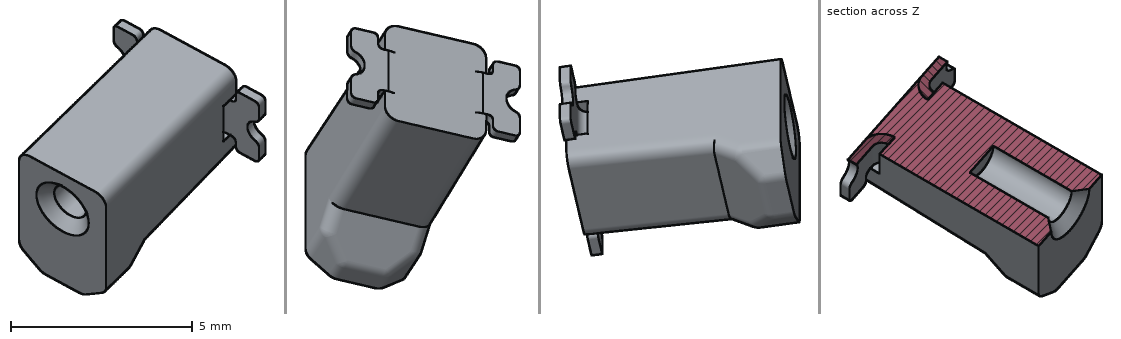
import cadquery as cq
import math


width = 3.0
length = 6.0
height = 4.4
edge_radius = 0.4

back_height = 3.25
ramp_length = 4.08
ramp_angle = 3.0
nose_length = 0.7
nose_start = length - nose_length
knee_z = height - back_height - ramp_length * math.tan(math.radians(ramp_angle))

corner_drop = 0.6
corner_inset = 0.8

bore_diameter = 1.1
mouth_diameter = 1.8
mouth_depth = (mouth_diameter - bore_diameter) / 2
bore_depth = 3.0
bore_z = height - 1.4

tab_span = 5.0
tab_thickness = 0.3
tab_height = 2.4
tab_width = 0.8
tab_z = height - 1.61
tab_corner_radius = 0.15
neck_height = 1.4
notch_radius = 0.4
notch_lip_radius = 0.2
bend_inset = 0.1
bend_inner_radius = 0.3
bend_outer_radius = bend_inner_radius + tab_thickness

half_width = width / 2
outer_x = tab_span / 2
shoulder_x = outer_x - tab_width
bend_x = half_width - bend_inset

tolerance = 0.01


def bend_sector(radius):
    """Quarter cylinder, as high as the tab neck, inside the right-hand housing wall."""
    reach = radius * math.sqrt(0.5)
    return (
        cq.Workplane("XY", origin=(bend_x, -bend_outer_radius, tab_z - neck_height / 2))
        .lineTo(0, radius)
        .threePointArc((-reach, reach), (-radius, 0))
        .close()
        .extrude(neck_height)
    )


def mirrored(body):
    """The same body on the opposite side of the YZ plane."""
    return body.mirror("YZ")


def housing_block():
    """Side profile limited to the front outline, with rounded long edges."""
    side = (
        cq.Workplane("YZ", origin=(-half_width, 0, 0))
        .polyline([
            (0, height),
            (-length, height),
            (-length, 0),
            (-nose_start, 0),
            (-ramp_length, knee_z),
            (0, height - back_height),
        ])
        .close()
        .extrude(width)
    )
    nose_half = half_width - corner_inset
    front = (
        cq.Workplane("XZ")
        .polyline([
            (-half_width, height),
            (half_width, height),
            (half_width, corner_drop),
            (nose_half, 0),
            (-nose_half, 0),
            (-half_width, corner_drop),
        ])
        .close()
        .extrude(length)
    )
    block = side.intersect(front)

    knee = cq.selectors.BoxSelector(
        (-tolerance, -ramp_length - tolerance, knee_z - tolerance),
        (tolerance, -ramp_length + tolerance, knee_z + tolerance),
    )
    between_ends = cq.selectors.StringSyntaxSelector("not(<Y or >Y)")
    return block.edges(between_ends - knee).fillet(edge_radius)


def wire_bore():
    """Blind round bore with its conical mouth."""
    bore_radius = bore_diameter / 2
    return (
        cq.Workplane("XY", origin=(0, -length, bore_z))
        .polyline([
            (0, 0),
            (mouth_diameter / 2, 0),
            (bore_radius, mouth_depth),
            (bore_radius, bore_depth),
            (0, bore_depth),
        ])
        .close()
        .revolve(360, (0, 0, 0), (0, 1, 0))
    )


def tab_pocket():
    """Seat of the right-hand tab: room for its bend, open to the side wall and the back."""
    opening = (
        cq.Workplane("XZ", origin=((bend_x + half_width) / 2, 0, tab_z))
        .rect(bend_inset, neck_height)
        .extrude(bend_outer_radius)
    )
    return bend_sector(bend_outer_radius).union(opening)


def make_housing():
    pocket = tab_pocket()
    return housing_block().cut(wire_bore()).cut(pocket).cut(mirrored(pocket))


def edges_across_plate(x, half_height):
    """Selector for the tab edges at one X, within a height either side of the tab's middle."""
    low = (x - tolerance, -tab_thickness - tolerance, tab_z - half_height - tolerance)
    high = (x + tolerance, tolerance, tab_z + half_height + tolerance)
    return cq.selectors.BoxSelector(low, high)


def make_tab():
    """Right-hand tab: notched plate, neck and a quarter bend into the housing pocket."""
    plate = (
        cq.Workplane("XZ", origin=((shoulder_x + outer_x) / 2, 0, tab_z))
        .rect(tab_width, tab_height)
        .extrude(tab_thickness)
        .edges("|Y")
        .fillet(tab_corner_radius)
    )
    neck = (
        cq.Workplane("XZ", origin=((bend_x + shoulder_x) / 2, 0, tab_z))
        .rect(shoulder_x - bend_x, neck_height)
        .extrude(tab_thickness)
    )
    notch = (
        cq.Workplane("XZ", origin=(outer_x, 0, tab_z))
        .circle(notch_radius)
        .extrude(tab_thickness)
    )

    plate = plate.union(neck)
    neck_corners = edges_across_plate(shoulder_x, neck_height / 2)
    plate = plate.edges(neck_corners).edges("|Y").fillet(tab_corner_radius)
    plate = plate.cut(notch)
    notch_lips = edges_across_plate(outer_x, notch_radius)
    plate = plate.edges(notch_lips).edges("|Y").fillet(notch_lip_radius)
    bend = bend_sector(bend_outer_radius).cut(bend_sector(bend_inner_radius))
    return plate.union(bend)


housing = make_housing()
right_tab = make_tab()
left_tab = mirrored(right_tab)

result = cq.Compound.makeCompound([housing.val(), right_tab.val(), left_tab.val()])